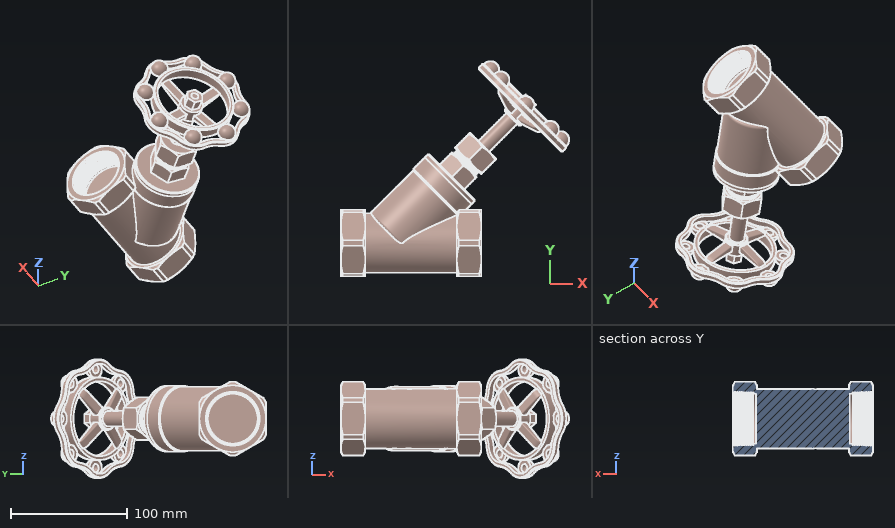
import cadquery as cq
import math

BRANCH_PLANE = cq.Plane(origin=(0, 0, 0), xDir=(0, 0, 1), normal=(1, 1, 0))

run_length = 120.7
run_start = -38.9
run_end = run_start + run_length
pipe_radius = 25.7
end_hex_flats = 57.3
end_hex_corners = 63.6
end_hex_length = 21.0
end_hex_chamfer = 1.8

port_taper = 1 / 32
port_minor_radius = 22.0
port_major_radius = 23.2
port_pitch = 2.0
port_turns = 9
port_relief = 2.4
port_relief_radius = 21.4

branch_radius = 27.7
branch_base = 7.7
branch_fillet = 2.5
collar_radius = 28.5
collar_base = 60.5
collar_bevel = 1.2
seat_height = 75.5

flange_top = 80.0
flange_chamfer = 0.8
bonnet_hex_flats = 30.0
bonnet_hex_top = 95.0
neck_radius = 13.5
neck_root_radius = 12.4
neck_pitch = 1.5
neck_turns = 3
neck_grip = 7.9

gland_flats = 32.0
gland_base = 99.7
gland_top = 118.0

stem_radius = 6.7
stem_offset = 0.8
spigot_radius = 3.1

hub_radius = 9.8
hub_base = 152.1
hub_top = 164.9
hub_chamfer = 1.0
lobe_count = 8
rim_tip_radius = 51.0
lobe_radius = 18.6
valley_radius = 24.1
rim_width = 3.7
rim_base = 162.0
rim_top = 168.0
rim_chamfer = 0.8
ring_inner_radius = 32.2
ring_outer_radius = 35.5
ring_top = 172.2
ring_chamfer = 0.8
knob_pitch_radius = 42.5
knob_radius = 7.55
knob_base = 167.3
knob_centre = 168.6
dimple_radius = 3.7
spoke_count = 4
spoke_width = 8.6
spoke_base = 154.5
spoke_bend_radius = 28.5
spoke_bend_height = 158.8
spoke_end_radius = 33.2
spoke_back_at_hub = 160.8
spoke_back_at_ring = 162.5
spoke_root = 164.9
spoke_fillet = 1.2

wheel_nut_flats = 12.8
wheel_nut_top = 175.1


def tilted(upright):
    """Move an upright branch shape onto the branch axis."""
    return upright.val().moved(cq.Location(BRANCH_PLANE))


def on_stem_axis(upright):
    """Shift an upright shape from the branch axis to the slightly offset stem axis."""
    return upright.translate((0, stem_offset, 0))


def cylinder(radius, bottom, top):
    return cq.Workplane("XY").workplane(offset=bottom).circle(radius).extrude(top - bottom)


def turned(profile):
    """Revolve (radius, height) points about the Z axis."""
    return cq.Workplane("XZ").polyline(profile).close().revolve(360, (0, 0, 0), (0, 1, 0))


def hexagon(flats, bottom, top):
    """Hexagonal prism with corners on the local X axis."""
    corners = flats / math.cos(math.pi / 6)
    return cq.Workplane("XY").workplane(offset=bottom).polygon(6, corners).extrude(top - bottom)


def chamfer_cone(radius, bottom, top, bevel_bottom, bevel_top):
    """Turned envelope that bevels hexagon corners at 30 degrees from the given flat radius."""
    slope = math.tan(math.pi / 6)
    wide = 1.3 * radius
    drop = (wide - radius) * slope
    profile = [(0, bottom)]
    profile += [(radius, bottom), (wide, bottom + drop)] if bevel_bottom else [(wide, bottom)]
    profile += [(wide, top - drop), (radius, top)] if bevel_top else [(wide, top)]
    profile += [(0, top)]
    return turned(profile)


def thread_profile(outer, inner, start, pitch, turns, taper=0):
    """Points of a row of V-shaped rings that start and end at the outer radius.

    Both radii shrink by taper per unit of height.
    """
    points = [(outer, start)]
    for turn in range(turns):
        middle = (turn + 0.5) * pitch
        end = (turn + 1) * pitch
        points.append((inner - taper * middle, start + middle))
        points.append((outer - taper * end, start + end))
    return points


def end_hex():
    """Hexagonal pipe end with corners on Z, blunted corners and bevelled faces."""
    prism = hexagon(end_hex_flats, 0, end_hex_length)
    blunting = hexagon(end_hex_corners, 0, end_hex_length).rotate((0, 0, 0), (0, 0, 1), 30)
    flat_radius = end_hex_flats / 2
    bevelled = turned([
        (0, 0),
        (flat_radius, 0),
        (end_hex_corners / math.sqrt(3), end_hex_chamfer * 2.5),
        (end_hex_corners / math.sqrt(3), end_hex_length - end_hex_chamfer * 2.5),
        (flat_radius, end_hex_length),
        (0, end_hex_length),
    ])
    return prism.intersect(blunting).intersect(bevelled)


def port_cutter():
    """Blind threaded port, opening at local height 0."""
    thread_end = port_pitch * port_turns
    profile = [(0, 0)]
    profile += thread_profile(
        port_major_radius, port_minor_radius, 0, port_pitch, port_turns, port_taper
    )
    profile += [
        (port_relief_radius, thread_end),
        (port_relief_radius, thread_end + port_relief),
        (0, thread_end + port_relief),
    ]
    return turned(profile)


def at_run_ends(shape):
    """Copies of an upright shape at the two pipe ends, both pointing into the pipe."""
    first = cq.Plane(origin=(run_start, 0, 0), xDir=(0, 0, 1), normal=(1, 0, 0))
    last = cq.Plane(origin=(run_end, 0, 0), xDir=(0, 0, 1), normal=(-1, 0, 0))
    return [shape.val().moved(cq.Location(plane)) for plane in (first, last)]


def make_body():
    branch = cylinder(branch_radius, branch_base, seat_height).faces("<Z").edges().fillet(branch_fillet)
    collar = turned([
        (0, collar_base),
        (branch_radius, collar_base),
        (collar_radius, collar_base + collar_bevel),
        (collar_radius, seat_height),
        (0, seat_height),
    ])
    body = cq.Workplane("YZ").workplane(offset=run_start).circle(pipe_radius).extrude(run_length)
    body = body.union(cq.Workplane(tilted(branch.union(collar))))
    for hex_end in at_run_ends(end_hex()):
        body = body.union(cq.Workplane(hex_end))
    for port in at_run_ends(port_cutter()):
        body = body.cut(cq.Workplane(port))
    return body.val()


def make_bonnet():
    flange = cylinder(collar_radius, seat_height, flange_top).faces(">Z").edges().chamfer(flange_chamfer)
    envelope = chamfer_cone(bonnet_hex_flats / 2, flange_top, bonnet_hex_top, False, True)
    prism = hexagon(bonnet_hex_flats, flange_top, bonnet_hex_top).intersect(envelope)
    neck_top = gland_base + neck_grip
    neck = [(0, bonnet_hex_top)]
    neck += thread_profile(neck_radius, neck_root_radius, bonnet_hex_top, neck_pitch, neck_turns)
    neck += [(neck_radius, neck_top), (0, neck_top)]
    bonnet = flange.union(prism).union(turned(neck))
    return tilted(bonnet.cut(on_stem_axis(cylinder(stem_radius, seat_height, neck_top))))


def make_gland_nut():
    envelope = chamfer_cone(gland_flats / 2, gland_base, gland_top, True, True)
    nut = hexagon(gland_flats, gland_base, gland_top).intersect(envelope)
    nut = nut.cut(cylinder(neck_radius, gland_base, gland_base + neck_grip))
    return tilted(nut.cut(on_stem_axis(cylinder(stem_radius, gland_base, gland_top))))


def make_stem():
    shaft = cylinder(stem_radius, seat_height, hub_base)
    return tilted(on_stem_axis(shaft.union(cylinder(spigot_radius, hub_base, wheel_nut_top))))


def polar(radius, angle):
    return (radius * math.cos(angle), radius * math.sin(angle))


def rim_outline(inset):
    """Wavy rim outline of tangent convex lobes and concave valleys, moved inward by inset."""
    half_step = math.pi / lobe_count
    lobe_centre = rim_tip_radius - lobe_radius
    reach = lobe_radius + valley_radius
    valley_centre = lobe_centre * math.cos(half_step) + math.sqrt(
        reach**2 - (lobe_centre * math.sin(half_step)) ** 2
    )
    lean = math.asin(valley_centre * math.sin(half_step) / reach)
    join_x = lobe_centre + (lobe_radius - inset) * math.cos(lean)
    join_y = (lobe_radius - inset) * math.sin(lean)
    join_radius = math.hypot(join_x, join_y)
    join_angle = math.atan2(join_y, join_x)
    tip_radius = rim_tip_radius - inset
    low_radius = valley_centre - valley_radius - inset

    outline = cq.Workplane("XY").workplane(offset=rim_base).moveTo(*polar(join_radius, -join_angle))
    for lobe in range(lobe_count):
        tip = 2 * half_step * lobe
        outline = outline.threePointArc(polar(tip_radius, tip), polar(join_radius, tip + join_angle))
        outline = outline.threePointArc(
            polar(low_radius, tip + half_step),
            polar(join_radius, tip + 2 * half_step - join_angle),
        )
    return outline.close()


def make_rim():
    thickness = rim_top - rim_base
    outer = rim_outline(0).extrude(thickness).faces("<Z or >Z").edges().chamfer(rim_chamfer)
    return outer.cut(rim_outline(rim_width).extrude(thickness))


def make_ring():
    ring = cylinder(ring_outer_radius, rim_base, ring_top).faces(">Z").edges().chamfer(ring_chamfer)
    return ring.cut(cylinder(ring_inner_radius, rim_base, ring_top))


def make_spoke():
    """Web along local X, sloping away from the hub and curving up into the ring."""
    web = (
        cq.Workplane("XZ")
        .moveTo(0, spoke_base)
        .lineTo(hub_radius, spoke_base)
        .lineTo(spoke_bend_radius, spoke_bend_height)
        .tangentArcPoint((spoke_end_radius, rim_base), relative=False)
        .lineTo(spoke_end_radius, spoke_root)
        .lineTo(ring_inner_radius, spoke_root)
        .lineTo(ring_inner_radius, spoke_back_at_ring)
        .lineTo(hub_radius, spoke_back_at_hub)
        .lineTo(0, spoke_back_at_hub)
        .close()
        .extrude(spoke_width / 2, both=True)
    )
    front_edges = cq.selectors.BoxSelector(
        (spoke_fillet, -spoke_width, 0),
        (ring_inner_radius - spoke_fillet / 2, spoke_width, spoke_back_at_hub - 0.2),
    )
    return web.faces(">Y or <Y").edges(front_edges).fillet(spoke_fillet)


def make_knob():
    """Domed boss and the round dimple that is cut into its lower face."""
    centre = (0, 0, knob_centre)
    ball = cq.Workplane("XY").sphere(knob_radius).translate(centre)
    dimple = cq.Workplane("XY").sphere(dimple_radius).translate(centre)
    ball = ball.intersect(cylinder(knob_radius, knob_centre, knob_centre + knob_radius))
    return cylinder(knob_radius, knob_base, knob_centre).union(ball), dimple


def make_handwheel():
    hub = cylinder(hub_radius, hub_base, hub_top).faces("<Z").edges().chamfer(hub_chamfer)
    wheel = make_rim().union(make_ring()).union(hub)
    for index in range(spoke_count):
        angle = 360 / spoke_count * (index + 0.5)
        wheel = wheel.union(make_spoke().rotate((0, 0, 0), (0, 0, 1), angle))
    knob, dimple = make_knob()
    for index in range(lobe_count):
        angle = 2 * math.pi / lobe_count * index
        place = (*polar(knob_pitch_radius, angle), 0)
        wheel = wheel.union(knob.translate(place)).cut(dimple.translate(place))
    return tilted(on_stem_axis(wheel.cut(cylinder(spigot_radius, hub_base, hub_top))))


def make_wheel_nut():
    nut = hexagon(wheel_nut_flats, hub_top, wheel_nut_top)
    return tilted(on_stem_axis(nut.cut(cylinder(spigot_radius, hub_top, wheel_nut_top))))


body = make_body()
bonnet = make_bonnet()
gland_nut = make_gland_nut()
stem = make_stem()
handwheel = make_handwheel()
wheel_nut = make_wheel_nut()

result = cq.Compound.makeCompound([
    s for b in (body, bonnet, gland_nut, stem, handwheel, wheel_nut) for s in b.Solids()
])